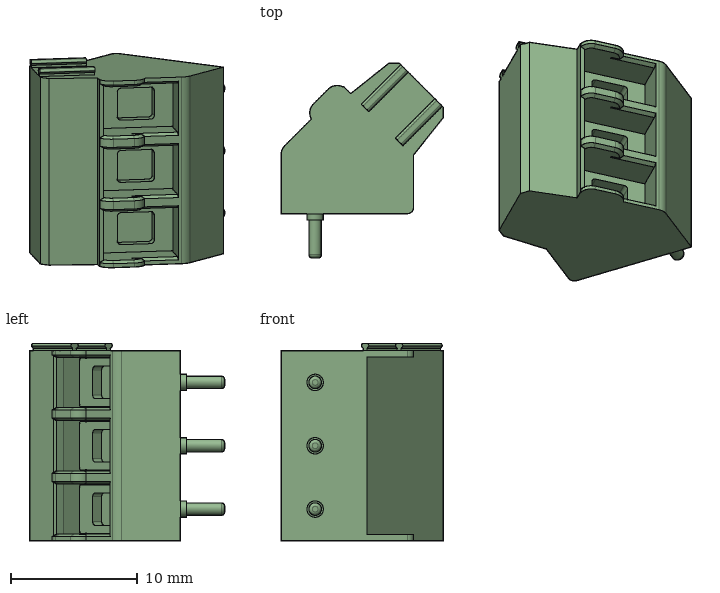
import cadquery as cq
import math

TILT = 45

poles = 3
pitch = 5.0
total_height = 15.57
body_height = poles * pitch
cell_centers = [(i + 0.5) * pitch for i in range(poles)]

base_width = 10.46
wall_corner_height = 5.08
wall_corner_radius = 1.0
base_corner_radius = 0.5
wall_across = wall_corner_height * math.cos(math.radians(TILT))

nose_start = 10.59
nose_end = 15.0
nose_center_across = -0.65
nose_tip_half_width = 2.97
nose_draft = 6.5
nose_face_half_width = 2.48
side_plate = 0.5

lobe_height = 0.73
lobe_radius = 1.0
lobe_arc_start = 7.93
divider_edge = 0.65
pocket_width = 3.95
divider_width = pitch - pocket_width
edge_bevel = (divider_width - divider_edge) / 2
edge_bevel_depth = 0.35

pocket_start = 4.27
pocket_end = 10.18
mouth_end = 10.25
mouth_draft_depth = 0.7
pad_depth = 2.5
pad_height = 0.69
pad_width = 3.81
pad_corner_radius = 0.15
window_length = 2.96
window_width = 2.57
window_depth = 1.0
window_corner_radius = 0.3

rail_center_across = -0.69
rail_spacing = 3.8
rail_height = total_height - body_height
rail_width = 0.84
rail_neck_width = 0.44
rail_neck_height = 0.19
rail_shoulder_height = 0.36
rail_edge_radius = 0.2

pin_x = 2.7
pin_diameter = 1.0
pin_length = 3.5
pin_tip_flat = 0.45
collar_diameter = 1.3
collar_length = 0.5


def turned(along, across):
    """X, Y of a point given in the turned frame."""
    c = math.cos(math.radians(TILT))
    return ((along - across) * c, (along + across) * c)


def turn(solid):
    """Move a solid modelled in the turned frame into place."""
    return solid.rotate((0, 0, 0), (0, 0, 1), TILT)


flank_x, flank_y = turned(nose_end, nose_center_across - nose_tip_half_width)
flank_slope = math.tan(math.radians(TILT + nose_draft))
flank_base_x = flank_x - flank_y / flank_slope
flank_side_y = flank_y - (flank_x - base_width) * flank_slope


def make_block():
    draft_rate = math.tan(math.radians(nose_draft))
    chamfer = (nose_tip_half_width - nose_face_half_width) / (1 - draft_rate)
    shoulder = nose_face_half_width + chamfer
    root_half_width = nose_tip_half_width + (nose_end - nose_start) * draft_rate
    outline = [
        (0, 0),
        (base_width, 0),
        (base_width, flank_side_y),
        turned(nose_end - chamfer, nose_center_across - shoulder),
        turned(nose_end, nose_center_across - nose_face_half_width),
        turned(nose_end, nose_center_across + nose_face_half_width),
        turned(nose_end - chamfer, nose_center_across + shoulder),
        turned(nose_start, nose_center_across + root_half_width),
        turned(nose_start, wall_across),
        (0, wall_corner_height),
    ]
    block = cq.Workplane("XY").polyline(outline).close().extrude(body_height)
    rounded_corners = [
        ((0, wall_corner_height), wall_corner_radius),
        ((base_width, 0), base_corner_radius),
    ]
    for (x, y), radius in rounded_corners:
        edge = cq.selectors.NearestToPointSelector((x, y, body_height / 2))
        block = block.edges(edge).fillet(radius)
    return block


def make_undercut():
    """Wedge below the nose, left open between the two side plates."""
    return (
        cq.Workplane("XY", origin=(0, 0, side_plate))
        .polyline([(flank_base_x, 0), (base_width, 0), (base_width, flank_side_y)])
        .close()
        .extrude(body_height - 2 * side_plate)
    )


def make_pocket(z):
    """Clamp pocket with a bevelled mouth and a windowed pad on its floor."""
    pad_across = wall_across - pad_depth
    floor_across = pad_across - pad_height
    length = pocket_end - pocket_start
    center = (pocket_start + pocket_end) / 2
    chamber = (
        cq.Workplane("XY", origin=(0, 0, z))
        .polyline([
            (pocket_start, floor_across),
            (pocket_end, floor_across),
            (pocket_end, wall_across - mouth_draft_depth),
            (mouth_end, wall_across),
            (pocket_start, wall_across),
        ])
        .close()
        .extrude(pocket_width / 2, both=True)
    )
    inner = pocket_width / 2
    outer = inner + edge_bevel
    mouth = (
        cq.Workplane("YZ", origin=(pocket_start, 0, z))
        .polyline([
            (wall_across, -outer),
            (wall_across, outer),
            (wall_across - edge_bevel_depth, inner),
            (wall_across - edge_bevel_depth, -inner),
        ])
        .close()
        .extrude(lobe_arc_start - pocket_start)
    )
    pad = (
        cq.Workplane("XY")
        .box(length, pad_height, pad_width, centered=(True, False, True))
        .edges("|Y and >X")
        .fillet(pad_corner_radius)
        .translate((center, floor_across, z))
    )
    window = (
        cq.Workplane("XY")
        .box(window_length, window_depth, window_width, centered=(True, False, True))
        .edges("|Y")
        .fillet(window_corner_radius)
        .translate((center, pad_across - window_depth, z))
    )
    return turn(chamber.union(mouth).cut(pad).union(window))


def make_lobe(z):
    """Rounded divider lobe with bevelled edges, trimmed to the body height."""
    top = wall_across + lobe_height
    root = top - lobe_radius
    back = nose_start - lobe_radius
    mid = lobe_radius * math.sqrt(0.5)
    half_lobe = (
        cq.Workplane("XY")
        .moveTo(lobe_arc_start - lobe_radius, root)
        .threePointArc((lobe_arc_start - mid, root + mid), (lobe_arc_start, top))
        .lineTo(back, top)
        .threePointArc((back + mid, root + mid), (nose_start, root))
        .close()
        .extrude(divider_width / 2)
    )
    rim = half_lobe.faces(">Z").edges("not <Y")
    half_lobe = rim.chamfer(edge_bevel, edge_bevel_depth)
    lobe = half_lobe.union(half_lobe.mirror("XY")).translate((0, 0, z))
    ample = 4 * nose_start
    body_slab = cq.Workplane("XY").rect(ample, ample).extrude(body_height)
    return turn(lobe.intersect(body_slab))


def make_rail(across):
    """Dovetail coding rail running out to the end of the nose."""
    half = rail_width / 2
    neck = rail_neck_width / 2
    rail = (
        cq.Workplane("YZ", origin=(nose_start, across, body_height))
        .polyline([
            (-neck, 0),
            (neck, 0),
            (neck, rail_neck_height),
            (half, rail_shoulder_height),
            (half, rail_height),
            (-half, rail_height),
            (-half, rail_shoulder_height),
            (-neck, rail_neck_height),
        ])
        .close()
        .extrude(nose_end - nose_start)
    )
    return turn(rail.edges("|X and >Z").fillet(rail_edge_radius))


def make_pin(z):
    """Collared solder pin with a rounded tip."""
    base = cq.Workplane("XZ", origin=(pin_x, 0, z))
    collar = base.circle(collar_diameter / 2).extrude(collar_length)
    pin = base.circle(pin_diameter / 2).extrude(pin_length)
    pin = pin.faces("<Y").edges().fillet((pin_diameter - pin_tip_flat) / 2)
    return collar.union(pin)


result = make_block().cut(make_undercut())
for cell_z in cell_centers:
    result = result.cut(make_pocket(cell_z))
    result = result.union(make_pin(cell_z))
for divider in range(poles + 1):
    result = result.union(make_lobe(divider * pitch))
for side in (-1, 1):
    result = result.union(make_rail(rail_center_across + side * rail_spacing / 2))